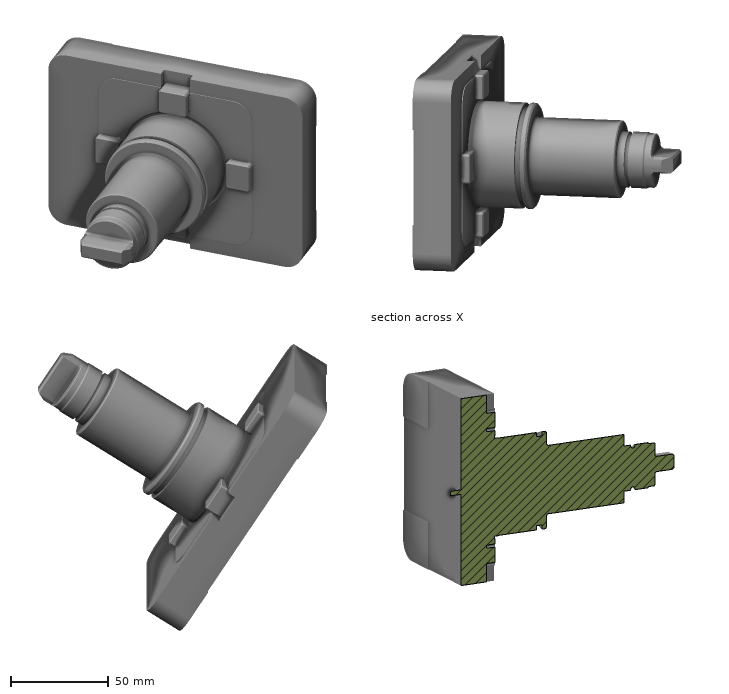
import cadquery as cq
import math


plate_width = 140.0
plate_height = 100.0
plate_thickness = 20.0
corner_radius = 10.0
back_relief_width = 85.0
back_relief_height = 50.0
back_relief_depth = 0.5
spigot_diameter = 16.0
spigot_end = 25.6

panel_size = 84.0
panel_raise = 0.4
opening_diameter = 56.3
opening_rim = 0.8

key_width = 15.3
key_length = 13.2
key_outer_end = 42.5
key_reach = 4.3
key_corner_chamfer = 0.8
key_front_chamfer = 0.49
slot_width = 16.0
slot_depth = 4.5
slot_overlap = 0.8
pocket_inner_gap = 0.4
relief_diameter = 2.1
side_relief_bulge = 0.49
side_relief_inset = 1.7
end_relief_inset = 2.2

boss_diameter = 54.6
collar_diameter = 55.0
collar_start = 0.5
collar_end = 1.5
collar_taper_end = 2.4
boss_groove_diameter = 50.3
boss_groove_start = 24.5
boss_groove_end = 27.5
boss_end = 30.4
boss_chamfer = 0.8
shaft_diameter = 40.0
shaft_root_radius = 1.0
shaft_end = 75.6
shaft_chamfer = 0.5
nose_diameter = 29.0
nose_groove_start = 79.4
nose_groove_width = 2.1
nose_groove_depth = 1.4
nose_end = 89.2
tip_diameter = 28.0
tip_taper = 0.7
tip_end = 104.5

blade_thickness = 8.4
shoulder_reach = 93.4
shoulder_chamfer = 0.4
blade_root_radius = 1.1
blade_end_width = 21.8
blade_end_taper_start = 98.7
blade_edge_chamfer = 1.0
blade_flat_width = 23.2
blade_bevel_drop = 1.1


def block(size_x, size_z, back, front):
    """Box centred on the Y axis between two reaches (negative is behind the plate face)."""
    return cq.Workplane("XY").box(size_x, front - back, size_z).translate((0, -(back + front) / 2, 0))


def cylinder(diameter, back, front, x=0, z=0):
    """Cylinder along Y between two reaches."""
    return cq.Workplane("XZ", origin=(x, -back, z)).circle(diameter / 2).extrude(front - back)


def make_plate():
    plate = block(plate_width, plate_height, -plate_thickness, 0).edges("|Y").fillet(corner_radius)
    panel = block(panel_size, panel_size, -panel_raise, panel_raise).edges("|Y").fillet(corner_radius)
    relief_floor = back_relief_depth - plate_thickness
    for width, height in ((back_relief_width, plate_height), (plate_width, back_relief_height)):
        plate = plate.cut(block(width, height, -plate_thickness, relief_floor))
    return plate.union(panel).union(cylinder(spigot_diameter, -spigot_end, relief_floor))


def cut_slots(body):
    """Slots running in from the top and bottom edges of the plate to the keys."""
    inner_end = panel_size / 2 - slot_overlap
    length = plate_height / 2 - inner_end
    for side in (1, -1):
        slot = block(slot_width, length, -slot_depth, panel_raise)
        body = body.cut(slot.translate((0, 0, side * (inner_end + length / 2))))
    return body


def cut_opening(body):
    """Open the panel around the foot of the stem, with a bevelled rim."""
    outer_radius = opening_diameter / 2 + opening_rim
    profile = [
        (0, -panel_raise),
        (outer_radius, -panel_raise),
        (opening_diameter / 2, 0),
        (0, 0),
    ]
    cutter = cq.Workplane("XY").polyline(profile).close().revolve(360, (0, 0, 0), (0, 1, 0))
    return body.cut(cutter)


def make_key():
    """Key on the +Z side, chamfered at its corners and around its front."""
    key = block(key_width, key_length, -slot_depth, key_reach)
    key = key.edges("|Y").chamfer(key_corner_chamfer)
    key = key.faces("<Y").chamfer(key_front_chamfer)
    return key.translate((0, 0, key_outer_end - key_length / 2))


def make_side_reliefs():
    """Inner gap and rounded side clearances of the +Z key pocket."""
    inner_end = key_outer_end - key_length
    side_x = key_width / 2 + side_relief_bulge - relief_diameter / 2
    gap = block(key_width, pocket_inner_gap, -slot_depth, panel_raise)
    reliefs = gap.translate((0, 0, inner_end - pocket_inner_gap / 2))
    for x in (side_x, -side_x):
        for z in (key_outer_end - side_relief_inset, inner_end + side_relief_inset):
            reliefs = reliefs.union(cylinder(relief_diameter, -slot_depth, panel_raise, x, z))
    return reliefs


def cut_end_reliefs(body):
    """Two rounded clearances at the outer end of the -X key pocket."""
    end_z = key_width / 2 - end_relief_inset
    for z in (end_z, -end_z):
        body = body.cut(cylinder(relief_diameter, -slot_depth, panel_raise, -key_outer_end, z))
    return body


def make_stem():
    boss_radius = boss_diameter / 2
    shaft_radius = shaft_diameter / 2
    nose_radius = nose_diameter / 2
    tip_radius = tip_diameter / 2
    root_arc_offset = shaft_root_radius * (1 - math.sqrt(0.5))
    groove_middle = nose_groove_start + nose_groove_width / 2
    groove_end = nose_groove_start + nose_groove_width
    return (
        cq.Workplane("XY")
        .moveTo(0, slot_depth)
        .lineTo(boss_radius, slot_depth)
        .lineTo(boss_radius, -collar_start)
        .lineTo(collar_diameter / 2, -collar_start)
        .lineTo(collar_diameter / 2, -collar_end)
        .lineTo(boss_radius, -collar_taper_end)
        .lineTo(boss_radius, -boss_groove_start)
        .lineTo(boss_groove_diameter / 2, -boss_groove_start)
        .lineTo(boss_groove_diameter / 2, -boss_groove_end)
        .lineTo(boss_radius, -boss_groove_end)
        .lineTo(boss_radius, boss_chamfer - boss_end)
        .lineTo(boss_radius - boss_chamfer, -boss_end)
        .lineTo(shaft_radius + shaft_root_radius, -boss_end)
        .threePointArc(
            (shaft_radius + root_arc_offset, -boss_end - root_arc_offset),
            (shaft_radius, -boss_end - shaft_root_radius),
        )
        .lineTo(shaft_radius, shaft_chamfer - shaft_end)
        .lineTo(shaft_radius - shaft_chamfer, -shaft_end)
        .lineTo(nose_radius, -shaft_end)
        .lineTo(nose_radius, -nose_groove_start)
        .threePointArc((nose_radius - nose_groove_depth, -groove_middle), (nose_radius, -groove_end))
        .lineTo(nose_radius, -nose_end)
        .lineTo(tip_radius, -nose_end - tip_taper)
        .lineTo(0, -nose_end - tip_taper)
        .close()
        .revolve(360, (0, 0, 0), (0, 1, 0))
    )


def make_blade():
    """Flat blade standing on a chamfered shoulder, flared where the two meet."""
    half_thickness = blade_thickness / 2
    half_flat = blade_flat_width / 2
    half_end = blade_end_width / 2
    tip_radius = tip_diameter / 2
    root_z = half_thickness + blade_root_radius
    root_end = shoulder_reach + blade_root_radius
    arc_offset = blade_root_radius * (1 - math.sqrt(0.5))
    arc_middle = (-shoulder_reach - arc_offset, half_thickness + arc_offset)

    half_profile = (
        cq.Workplane("YZ", origin=(-tip_radius, 0, 0))
        .moveTo(-nose_end, 0)
        .lineTo(-nose_end, root_z)
        .lineTo(-shoulder_reach, root_z)
        .threePointArc(arc_middle, (-root_end, half_thickness))
        .lineTo(blade_edge_chamfer - tip_end, half_thickness)
        .lineTo(-tip_end, half_thickness - blade_edge_chamfer)
        .lineTo(-tip_end, 0)
        .close()
        .extrude(tip_diameter)
    )
    outline = [
        (-tip_radius, -nose_end),
        (-tip_radius, -blade_end_taper_start),
        (-half_end, -tip_end),
        (half_end, -tip_end),
        (tip_radius, -blade_end_taper_start),
        (tip_radius, -nose_end),
    ]
    tapered_ends = cq.Workplane("XY").polyline(outline).close().extrude(root_z)
    bevel = (
        cq.Workplane("XZ", origin=(0, -root_end, 0))
        .polyline([
            (half_flat, half_thickness),
            (tip_radius, half_thickness),
            (tip_radius, half_thickness - blade_bevel_drop),
        ])
        .close()
        .extrude(tip_end - root_end)
    )
    half_blade = half_profile.intersect(tapered_ends)
    half_blade = half_blade.intersect(cylinder(tip_diameter, nose_end, tip_end))
    half_blade = half_blade.cut(bevel).cut(bevel.mirror("YZ"))
    shoulder = cylinder(tip_diameter, nose_end, shoulder_reach).faces("<Y").chamfer(shoulder_chamfer)
    return shoulder.union(half_blade).union(half_blade.mirror("XY"))


body = cut_end_reliefs(cut_opening(cut_slots(make_plate())))
key = make_key()
side_reliefs = make_side_reliefs()
for quarter in range(4):
    turn = ((0, 0, 0), (0, 1, 0), 90 * quarter)
    body = body.cut(side_reliefs.rotate(*turn)).union(key.rotate(*turn))

result = body.union(make_stem()).union(make_blade())